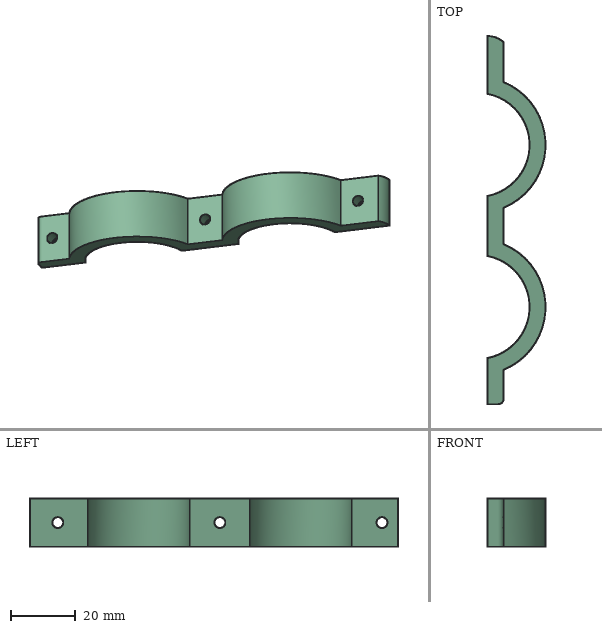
import cadquery as cq
import math

length = 113.8
depth = 18.0
height = 15.0
wall = 5.0
outer_radius = 21.0
inner_radius = outer_radius - wall
loop_spacing = 50.1
hole_diameter = 3.3
lower_tab = 30.0
upper_end_radius = 7.5
lower_end_radius = 1.7

loop_x = depth - outer_radius
loop_centers = [lower_tab, lower_tab + loop_spacing]
hole_ys = [lower_tab + (i - 0.5) * loop_spacing for i in range(3)]


def flange_strip():
    """Flat strip with both ends rounded toward the outer face."""
    upper_center_y = length - upper_end_radius
    upper_corner_y = upper_center_y + math.sqrt(upper_end_radius**2 - wall**2)
    half_angle = math.asin(wall / upper_end_radius) / 2
    upper_mid = (
        upper_end_radius * math.sin(half_angle),
        upper_center_y + upper_end_radius * math.cos(half_angle),
    )
    return (
        cq.Workplane("XY")
        .lineTo(wall - lower_end_radius, 0)
        .radiusArc((wall, lower_end_radius), -lower_end_radius)
        .lineTo(wall, upper_corner_y)
        .threePointArc(upper_mid, (0, length))
        .close()
        .extrude(height)
    )


def loop_cylinders(radius):
    """Vertical cylinders on the two loop centres."""
    points = [(loop_x, y) for y in loop_centers]
    return cq.Workplane("XY").pushPoints(points).circle(radius).extrude(height)


def front_half_space():
    """Block that keeps only material in front of the mounting face."""
    return cq.Workplane("XY").box(depth, length, height, centered=False)


def screw_holes():
    """Cross holes through the flanges, midway between loops."""
    points = [(y, height / 2) for y in hole_ys]
    return cq.Workplane("YZ").pushPoints(points).circle(hole_diameter / 2).extrude(wall)


loops = loop_cylinders(outer_radius).intersect(front_half_space())
result = flange_strip().union(loops).cut(loop_cylinders(inner_radius)).cut(screw_holes())